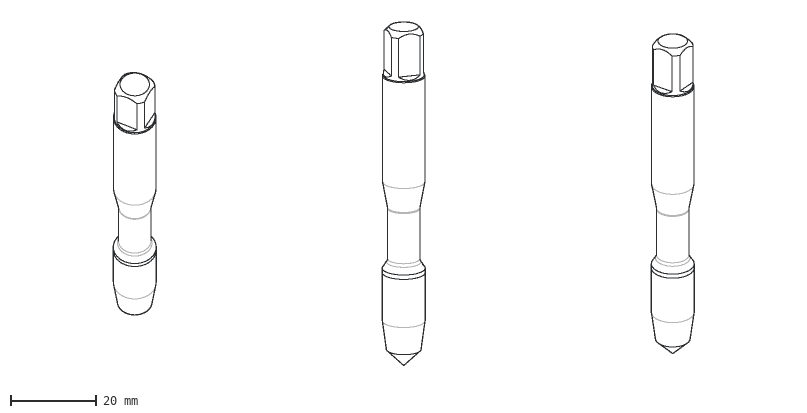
import cadquery as cq

TOTAL_LENGTH = 84.3
TIP_LENGTH = 4.1
LEAD_TOP_Z = 11.2
SPLIT_Z = 23.2
SHOULDER_Z = 24.3
NECK_BOTTOM_Z = 26.2
NECK_TOP_Z = 39.3
TAPER_TOP_Z = 45.8
SHANK_TOP_Z = 72.1

THREAD_DIAMETER = 10.1
LEAD_END_DIAMETER = 8.3
SHANK_DIAMETER = 10.0
NECK_DIAMETER = 7.7
NECK_FILLET = 1.5
DRIVE_DIAMETER = 9.6

DRIVE_FLATS = 8.0
DRIVE_CHAMFER = 1.35
FLAT_BOTTOM_Z = 73.3
SHANK_CHAMFER = (SHANK_DIAMETER - DRIVE_DIAMETER) / 2


def revolve_profile(points):
    """Turn an outline of (diameter, z) points around the Z axis."""
    outline = [(diameter / 2, z) for diameter, z in points]
    return cq.Workplane("XZ").polyline(outline).close().revolve(360, (0, 0), (0, 1))


def make_flat_cutter():
    """Waste beside the +X flat, with a 45 degree ramp where the flat runs out."""
    flat_x = DRIVE_FLATS / 2
    reach = THREAD_DIAMETER
    outline = [
        (flat_x, TOTAL_LENGTH),
        (flat_x, FLAT_BOTTOM_Z),
        (flat_x + reach, FLAT_BOTTOM_Z - reach),
        (flat_x + reach, TOTAL_LENGTH),
    ]
    return cq.Workplane("XZ").polyline(outline).close().extrude(THREAD_DIAMETER / 2, both=True)


def make_shank():
    """Stepped shank with a filleted relief neck and a square drive end."""
    body = revolve_profile([
        (0, SPLIT_Z),
        (THREAD_DIAMETER, SPLIT_Z),
        (THREAD_DIAMETER, SHOULDER_Z),
        (NECK_DIAMETER, NECK_BOTTOM_Z),
        (NECK_DIAMETER, NECK_TOP_Z),
        (SHANK_DIAMETER, TAPER_TOP_Z),
        (SHANK_DIAMETER, SHANK_TOP_Z),
        (DRIVE_DIAMETER, SHANK_TOP_Z + SHANK_CHAMFER),
        (DRIVE_DIAMETER, TOTAL_LENGTH - DRIVE_CHAMFER),
        (DRIVE_DIAMETER - 2 * DRIVE_CHAMFER, TOTAL_LENGTH),
        (0, TOTAL_LENGTH),
    ])
    neck_ends = cq.selectors.BoxSelector(
        (-THREAD_DIAMETER, -THREAD_DIAMETER, NECK_BOTTOM_Z - NECK_FILLET / 2),
        (THREAD_DIAMETER, THREAD_DIAMETER, NECK_TOP_Z + NECK_FILLET / 2),
    )
    body = body.edges("%CIRCLE").edges(neck_ends).fillet(NECK_FILLET)

    cutter = make_flat_cutter()
    for quarter_turn in range(4):
        body = body.cut(cutter.rotate((0, 0, 0), (0, 0, 1), 90 * quarter_turn))
    return body


def make_thread_section():
    """Cutting end: plain thread envelope, tapered lead and conical tip."""
    return revolve_profile([
        (0, 0),
        (LEAD_END_DIAMETER, TIP_LENGTH),
        (THREAD_DIAMETER, LEAD_TOP_Z),
        (THREAD_DIAMETER, SPLIT_Z),
        (0, SPLIT_Z),
    ])


shank = make_shank()
thread_section = make_thread_section()
result = cq.Compound.makeCompound([shank.val(), thread_section.val()])